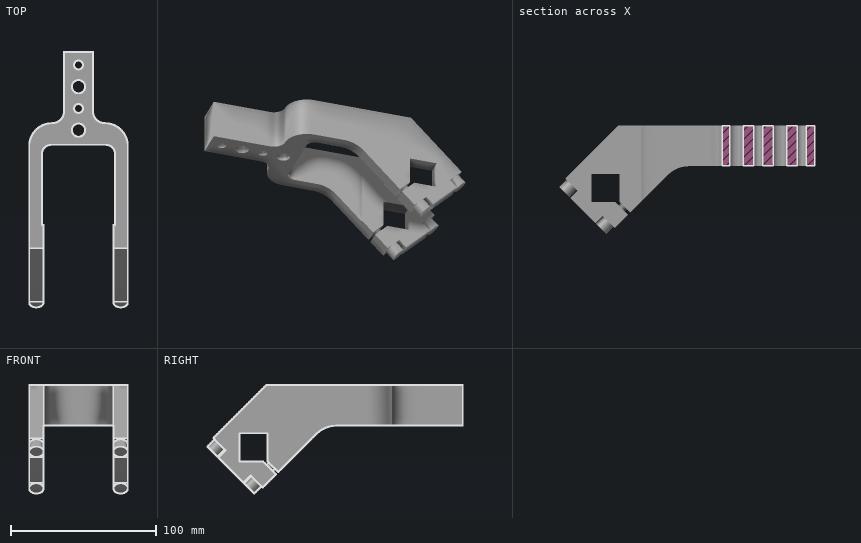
import cadquery as cq
import math


fork_width = 68.0
neck_width = 20.0
shoulder_depth = 48.9
crotch_depth = 64.0
crotch_radius = 6.2
outer_radius = 16.0
neck_radius = (fork_width - neck_width) / 2 - outer_radius
tine_thickness = 9.0
clamp_thickness = 10.0
clamp_start = 119.0

plate_height = 28.1
bend_depth = 135.0
slope = math.radians(45)
slope_length = 58.9
slope_width = 48.2
bend_radius = 20.0

small_hole = 6.0
large_hole = 9.0
first_hole_depth = 9.0
hole_pitch = 15.0
hole_diameters = (small_hole, large_hole, small_hole, large_hole)

window_side = 19.2
window_along = 36.7
slit_width = 2.1
head_diameter = 10.0
head_height = 7.0
head_inset = 1.2
head_clearance = 0.5
shank_diameter = 6.0

half_width = fork_width / 2
half_neck = neck_width / 2
tine_center = half_width - clamp_thickness / 2
seat_along = slope_length - head_height
pocket_width = head_inset + head_diameter + head_clearance


def slope_point(along, across):
    """(Y, Z) of a point along the sloped top edge from its bend, and across from that edge."""
    forward = along * math.cos(slope) - across * math.sin(slope)
    down = along * math.sin(slope) + across * math.cos(slope)
    return -bend_depth - forward, -down


def side_extrusion(points):
    """Extrude a (Y, Z) outline over the whole fork width."""
    return cq.Workplane("YZ").polyline(points).close().extrude(half_width, both=True)


def slope_block(along_start, along_end, across_start, across_end):
    """Block aligned with the slope, over the whole fork width."""
    corners = [
        (along_start, across_start),
        (along_end, across_start),
        (along_end, across_end),
        (along_start, across_end),
    ]
    return side_extrusion([slope_point(*corner) for corner in corners])


def screw_cylinder(x, across, along_start, length, diameter):
    """Cylinder with its axis along the slope."""
    y, z = slope_point(along_start, across)
    axis = cq.Vector(0, -math.cos(slope), -math.sin(slope))
    return cq.Workplane(cq.Solid.makeCylinder(diameter / 2, length, cq.Vector(x, y, z), axis))


def fork_plan():
    """Neck, rounded shoulders and two tines, extruded deeper than the tine ends reach."""
    arc_mid = math.sin(math.radians(45))
    front = -(bend_depth + slope_length)
    depth = slope_length + slope_width
    shoulder_x = half_neck + neck_radius
    neck_arc_y = -shoulder_depth + neck_radius
    outer_arc_y = -shoulder_depth - outer_radius
    tine_x = half_width - tine_thickness
    clamp_x = half_width - clamp_thickness
    crotch_x = tine_x - crotch_radius
    crotch_arc_y = -crotch_depth - crotch_radius
    half = (
        cq.Workplane("XY")
        .moveTo(0, 0)
        .lineTo(half_neck, 0)
        .lineTo(half_neck, neck_arc_y)
        .threePointArc(
            (shoulder_x - neck_radius * arc_mid, neck_arc_y - neck_radius * arc_mid),
            (shoulder_x, -shoulder_depth),
        )
        .threePointArc(
            (shoulder_x + outer_radius * arc_mid, outer_arc_y + outer_radius * arc_mid),
            (half_width, outer_arc_y),
        )
        .lineTo(half_width, front)
        .lineTo(clamp_x, front)
        .lineTo(clamp_x, -clamp_start)
        .lineTo(tine_x, -clamp_start)
        .lineTo(tine_x, crotch_arc_y)
        .threePointArc(
            (crotch_x + crotch_radius * arc_mid, crotch_arc_y + crotch_radius * arc_mid),
            (crotch_x, -crotch_depth),
        )
        .lineTo(0, -crotch_depth)
        .close()
        .extrude(-depth)
    )
    return half.union(half.mirror("YZ"))


def side_profile():
    """Level plate that bends down into the sloped tine ends."""
    lower_edge_start = (plate_height - slope_width * math.cos(slope)) / math.sin(slope)
    lower_bend = slope_point(lower_edge_start, slope_width)
    profile = side_extrusion([
        (0, 0),
        slope_point(0, 0),
        slope_point(slope_length, 0),
        slope_point(slope_length, slope_width),
        lower_bend,
        (0, -plate_height),
    ])
    bend_edge = cq.selectors.NearestToPointSelector((0, *lower_bend))
    return profile.edges("|X").edges(bend_edge).fillet(bend_radius)


body = fork_plan().intersect(side_profile())

for index, diameter in enumerate(hole_diameters):
    hole_y = -(first_hole_depth + index * hole_pitch)
    hole = cq.Workplane("XY").center(0, hole_y).circle(diameter / 2).extrude(-plate_height)
    body = body.cut(hole)

window_y, window_z = slope_point(window_along, slope_width / 2)
window = cq.Workplane("XY").box(fork_width, window_side, window_side)
body = body.cut(window.translate((0, window_y, window_z)))
body = body.cut(slope_block(window_along, window_along + slit_width, slope_width / 2, slope_width))

body = body.cut(slope_block(seat_along, slope_length, 0, pocket_width))
body = body.cut(slope_block(seat_along, slope_length, slope_width - pocket_width, slope_width))

upper_screw = head_inset + head_diameter / 2
lower_screw = slope_width - upper_screw
for x in (-tine_center, tine_center):
    for across in (upper_screw, lower_screw):
        body = body.union(screw_cylinder(x, across, seat_along, head_height, head_diameter))
    body = body.union(screw_cylinder(x, lower_screw, window_along, slit_width, shank_diameter))

result = body